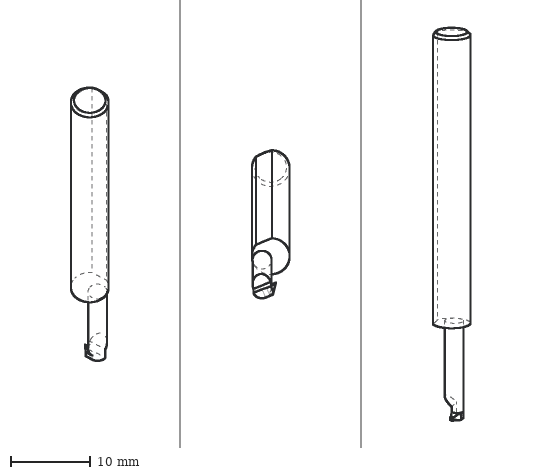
import cadquery as cq

total_height = 50.8
shank_radius = 2.4
shank_bottom = 12.75
shank_flat_y = 2.15
top_chamfer = 0.4

neck_radius = shank_radius / 2
neck_x = shank_radius - neck_radius
neck_left = neck_x - neck_radius
neck_bottom = 0.15

runout_top = 2.9
runout_bottom = 1.85

tip_x = -0.7
nib_root_x = -0.4
nib_low = 0.3
nib_high = 0.6
head_top = 1.1
back_top = 0.95
relief_heel_x = 0.2
nib_side_relief = 0.1
overlap = 0.5


def make_shank():
    """Round shank with a chamfered top end and one flat along its +Y side."""
    length = total_height - shank_bottom
    shank = cq.Workplane("XY").workplane(offset=shank_bottom).circle(shank_radius).extrude(length)
    shank = shank.faces(">Z").chamfer(top_chamfer)
    waste = (
        cq.Workplane("XY")
        .box(2 * shank_radius, shank_radius, total_height, centered=(True, False, False))
        .translate((0, shank_flat_y, 0))
    )
    return shank.cut(waste)


def make_neck():
    """Round neck cut back to its centre plane near the free end."""
    length = shank_bottom + overlap - neck_bottom
    neck = (
        cq.Workplane("XY")
        .workplane(offset=neck_bottom)
        .center(neck_x, 0)
        .circle(neck_radius)
        .extrude(length)
    )
    waste = (
        cq.Workplane("YZ")
        .polyline([
            (0, 0),
            (neck_radius, 0),
            (neck_radius, runout_top),
            (0, runout_bottom),
        ])
        .close()
        .extrude(2 * shank_radius)
        .translate((neck_left - overlap, 0, 0))
    )
    return neck.cut(waste)


def head_outline(top, bottom, side_relief):
    """XZ corners of the head: a narrow nib that flares out to the neck."""
    low = nib_low + side_relief
    high = nib_high - side_relief
    return [
        (tip_x, low),
        (tip_x, high),
        (nib_root_x, high),
        (neck_left, top),
        (neck_x, top),
        (neck_x, neck_bottom),
        (neck_x / 2, bottom),
        (neck_left, bottom),
        (nib_root_x, low),
    ]


def make_head():
    """Head with side relief towards -Y and a slanted relief behind the tip."""
    front = head_outline(head_top, 0, 0)
    back = head_outline(back_top, neck_bottom, nib_side_relief)
    head = (
        cq.Workplane("XZ")
        .polyline(front)
        .close()
        .workplane(offset=neck_radius)
        .polyline(back)
        .close()
        .loft(ruled=True)
    )
    waste = (
        cq.Workplane("XY")
        .polyline([
            (tip_x, 0),
            (relief_heel_x, -neck_radius),
            (tip_x - overlap, -neck_radius),
            (tip_x - overlap, 0),
        ])
        .close()
        .extrude(head_top)
    )
    return head.cut(waste)


result = make_shank().union(make_neck()).union(make_head())